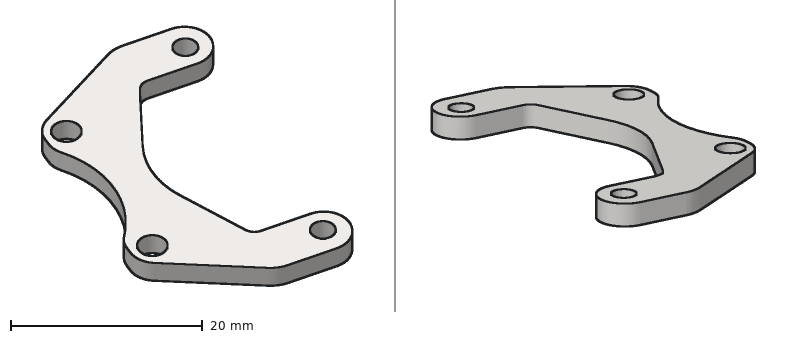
import cadquery as cq
import math

length = 38.0
depth = 22.5
thickness = 2.55

arm_radius = 3.0
arm_width = 2 * arm_radius
arm_hole_diameter = 2.7
arm_hole_x = 15.8
arm_hole_y = depth - arm_radius

foot_hole_diameter = 3.2
foot_hole_x = 9.88
foot_hole_y = 2.55
foot_radius = 3.0
foot_corner_x = 11.48

shoulder_y = 12.7
shoulder_radius = 4.0
inner_slope = math.radians(25)
inner_corner_radius = 1.52
valley_radius = 10.0
valley_y = 7.68

relief_radius = 12.0
relief_top_y = 3.0
relief_center_y = relief_top_y - relief_radius

half_length = length / 2
arm_inner_x = half_length - arm_width
valley_corner_y = valley_y - valley_radius * (1 / math.cos(inner_slope) - 1)
inner_corner_y = valley_corner_y + arm_inner_x * math.tan(inner_slope)
relief_edge_x = math.sqrt(relief_radius**2 - relief_center_y**2)


def make_blank():
    """Sharp-cornered plate with round arm ends and the lower relief."""
    return (
        cq.Workplane("XY")
        .moveTo(relief_edge_x, 0)
        .lineTo(foot_corner_x, 0)
        .lineTo(half_length, shoulder_y)
        .lineTo(half_length, arm_hole_y)
        .threePointArc((half_length - arm_radius, depth), (arm_inner_x, arm_hole_y))
        .lineTo(arm_inner_x, inner_corner_y)
        .lineTo(0, valley_corner_y)
        .lineTo(-arm_inner_x, inner_corner_y)
        .lineTo(-arm_inner_x, arm_hole_y)
        .threePointArc((arm_radius - half_length, depth), (-half_length, arm_hole_y))
        .lineTo(-half_length, shoulder_y)
        .lineTo(-foot_corner_x, 0)
        .lineTo(-relief_edge_x, 0)
        .threePointArc((0, relief_top_y), (relief_edge_x, 0))
        .close()
        .extrude(thickness)
    )


def round_corner(body, x, y, radius):
    """Round the upright edge that stands at (x, y)."""
    nearest = cq.selectors.NearestToPointSelector((x, y, thickness / 2))
    return body.edges("|Z").edges(nearest).fillet(radius)


def drill_pair(body, x, y, diameter):
    """Cut a mirrored pair of through holes."""
    holes = (
        cq.Workplane("XY")
        .pushPoints([(-x, y), (x, y)])
        .circle(diameter / 2)
        .extrude(thickness)
    )
    return body.cut(holes)


result = make_blank()
result = round_corner(result, 0, valley_corner_y, valley_radius)
for side in (-1, 1):
    result = round_corner(result, side * arm_inner_x, inner_corner_y, inner_corner_radius)
    result = round_corner(result, side * half_length, shoulder_y, shoulder_radius)
    result = round_corner(result, side * foot_corner_x, 0, foot_radius)
    result = round_corner(result, side * relief_edge_x, 0, foot_radius)

result = drill_pair(result, arm_hole_x, arm_hole_y, arm_hole_diameter)
result = drill_pair(result, foot_hole_x, foot_hole_y, foot_hole_diameter)